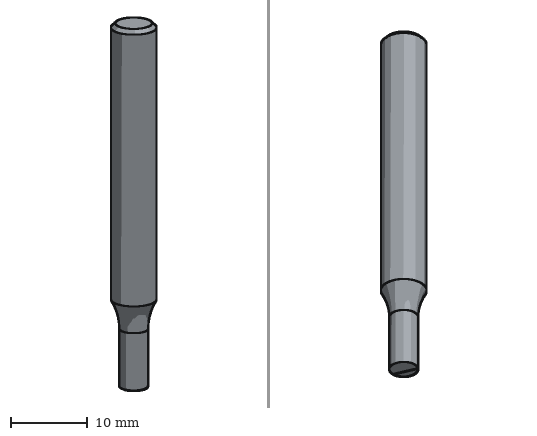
import cadquery as cq
import math

total_length = 50.0
shank_diameter = 6.0
cutter_diameter = 3.8
cutter_length = 8.0
flare_radius = 8.0
chamfer_size = 0.6
tip_edge_x = 0.5
tip_height = 0.1
tip_inset = 0.1

shank_radius = shank_diameter / 2
cutter_radius = cutter_diameter / 2


def flare_point(angle):
    """Point (radius, height) on the concave flare, which starts tangent to the cutter."""
    return (
        cutter_radius + flare_radius * (1 - math.cos(angle)),
        cutter_length + flare_radius * math.sin(angle),
    )


def make_shank():
    """Chamfered round shank that narrows through a concave flare to the cutter diameter."""
    flare_angle = math.acos(1 - (shank_radius - cutter_radius) / flare_radius)
    return (
        cq.Workplane("XZ")
        .moveTo(0, cutter_length)
        .lineTo(cutter_radius, cutter_length)
        .threePointArc(flare_point(flare_angle / 2), flare_point(flare_angle))
        .lineTo(shank_radius, total_length - chamfer_size)
        .lineTo(shank_radius - chamfer_size, total_length)
        .lineTo(0, total_length)
        .close()
        .revolve(360, (0, 0, 0), (0, 1, 0))
    )


def make_cutter():
    """Plain round cutter with a shallow, slightly inset circular segment standing below its end."""
    body = (
        cq.Workplane("XY")
        .workplane(offset=tip_height)
        .circle(cutter_radius)
        .extrude(cutter_length - tip_height)
    )
    tip_disc = cq.Workplane("XY").circle(cutter_radius - tip_inset).extrude(tip_height)
    relief = (
        cq.Workplane("XY")
        .box(cutter_radius + tip_edge_x, cutter_diameter, tip_height, centered=(False, True, False))
        .translate((-cutter_radius, 0, 0))
    )
    return body.union(tip_disc.cut(relief))


shank = make_shank()
cutter = make_cutter()

result = cq.Compound.makeCompound([shank.val(), cutter.val()])